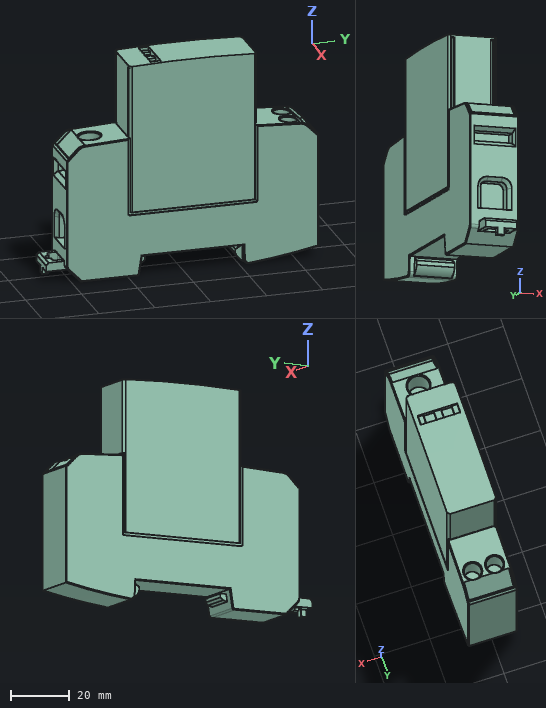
import cadquery as cq
import math

width = 17.7
half_width = width / 2
half_length = 45.0
total_length = 96.53
total_height = 77.07
edge_chamfer = 0.35
fittings_x = 0.15

plug_half_length = 22.6
shoulder_height = 50.25
shoulder_fall = math.tan(math.radians(3))
bevel_foot_height = 44.4
shoulder_round = 4.0
bevel_rise = bevel_foot_height + half_length - shoulder_height
bevel_top_y = (bevel_rise - shoulder_fall * plug_half_length) / (1 - shoulder_fall)
bevel_top_z = bevel_foot_height + half_length - bevel_top_y

rail_slot_height = 7.05
rail_half_width = 18.1
front_leg_y = -19.2
front_leg_round = 0.7
front_bevel_y = -39.9
front_bevel_z = 5.2
front_bevel_round = 1.8
rear_foot_z = 3.9
rear_foot_y = 18.4
rear_foot_round = 1.8
rear_foot_sag = 0.4

bevel_recess_half_width = 8.1
bevel_recess_top_y = 38.4
bevel_recess_foot_y = 43.4
bevel_recess_foot_z = 44.4
bevel_lip_y = 44.2
bevel_lip_z = 45.0

plug_bottom = 23.3
plug_back_y = 22.85
plug_seated_back_y = 22.33
plug_step_z = 51.0
plug_crown = 0.62
plug_chamfer = 0.85
seat_gap = 0.5
seat_bottom = 22.3
seat_depth = 0.45
seat_round = 0.8

groove_inner_x = 6.55
groove_outer_x = 7.75
groove_depth = 1.4
groove_top = 75.6

window_half_width = 7.1
window_front_y = -14.5
window_back_y = -11.0
window_depth = 1.0
lamp_well_depth = 2.0
lamp_well_inner_x = 1.3
lamp_well_outer_x = 5.1

front_screw_y = -34.35
front_screw_radius = 3.8
rear_screw_y = 35.55
rear_screw_x = 3.95
rear_screw_radius = 2.95
screw_countersink = 0.4
screw_depth = 10.0

label_half_width = 7.5
label_bottom = 33.9
label_top = 40.3
label_inset_x = 0.65
label_inset_z = 1.45
label_taper_depth = 1.6
label_depth = 5.0

entry_half_width = 6.1
entry_bottom = 11.7
entry_top = 22.85
entry_round = 3.5
entry_inset = 1.4
entry_taper_depth = 1.3
entry_depth = 4.85

latch_half_width = 5.65
latch_front_y = half_length - total_length
latch_root_y = -40.0
latch_bottom = 3.85
latch_top = rail_slot_height
latch_chamfer = 0.95
latch_hole_half_width = 3.85
latch_hole_y = -48.5
latch_hole_round = 1.0
latch_hole_reach = 0.9
latch_hole_inner_round = 0.6
notch_half_width = 1.4
notch_y = -50.0
notch_round = 1.3
tab_half_width = 1.2
tab_back_y = -49.3
tab_bottom = 1.5

rear_hook_half_width = 6.85
rear_hook_root_y = 19.0
rear_hook_root_z = 0.4
rear_hook_top = 6.6
rear_hook_tip_y = 15.8
rear_hook_tip_top = 5.2
rear_hook_tip_bottom = 3.7
rear_hook_belly = (16.7, 2.1)
front_hook_root_y = -19.0
front_hook_root_bottom = 3.1
front_hook_top = 5.8
front_hook_tip_y = -16.1
front_hook_tip_bottom = 4.5
front_hook_heel = (-17.1, 3.6)


def profile_at(x):
    """Workplane across X whose local axes are the part's Y and Z."""
    return cq.Workplane("YZ", origin=(x, 0, 0))


def prism(points, half):
    """Closed Y-Z outline extruded equally to both sides of X = 0."""
    return profile_at(0).polyline(points).close().extrude(half, both=True)


def block(x0, x1, y0, y1, z0, z1):
    return cq.Workplane("XY").box(x1 - x0, y1 - y0, z1 - z0, centered=False).translate((x0, y0, z0))


def round_corner(body, y, z, radius):
    """Round the edge along X that runs through (y, z)."""
    return body.edges(cq.NearestToPointSelector((0, y, z))).fillet(radius)


def shoulder_z(y):
    return shoulder_height - shoulder_fall * (abs(y) - plug_half_length)


def make_housing():
    sag_point = ((half_length + rear_foot_y) / 2, rear_foot_z / 2 - rear_foot_sag)
    housing = (
        profile_at(-half_width)
        .moveTo(-half_length, front_bevel_z)
        .lineTo(-half_length, bevel_foot_height)
        .lineTo(-bevel_top_y, bevel_top_z)
        .lineTo(-plug_half_length, shoulder_height)
        .lineTo(plug_half_length, shoulder_height)
        .lineTo(bevel_top_y, bevel_top_z)
        .lineTo(half_length, bevel_foot_height)
        .lineTo(half_length, rear_foot_z)
        .threePointArc(sag_point, (rear_foot_y, 0))
        .lineTo(rail_half_width, rail_slot_height)
        .lineTo(-rail_half_width, rail_slot_height)
        .lineTo(front_leg_y, 0)
        .lineTo(front_bevel_y, 0)
        .close()
        .extrude(width)
    )
    for side in (-1, 1):
        housing = round_corner(housing, side * bevel_top_y, bevel_top_z, shoulder_round)
    housing = round_corner(housing, -half_length, front_bevel_z, front_bevel_round)
    housing = round_corner(housing, front_leg_y, 0, front_leg_round)
    housing = round_corner(housing, rear_foot_y, 0, rear_foot_round)
    return housing.faces("<X or >X").chamfer(edge_chamfer)


def bevel_recess(side):
    outline = [
        (side * bevel_recess_top_y, shoulder_z(bevel_recess_top_y)),
        (side * bevel_recess_foot_y, bevel_recess_foot_z),
        (side * bevel_lip_y, bevel_lip_z),
        (side * half_length, shoulder_height),
        (side * bevel_recess_top_y, shoulder_height),
    ]
    return prism(outline, bevel_recess_half_width)


def plug_seat(side):
    """Shallow pocket in one side face that frames the plug."""
    half = plug_half_length + seat_gap
    seat = block(half_width - seat_depth, half_width, -half, half, seat_bottom, total_height)
    seat = seat.edges("|X and <Z").fillet(seat_round)
    return seat if side > 0 else seat.mirror("YZ")


def make_plug():
    shoulder = total_height - plug_crown
    plug = (
        profile_at(-half_width)
        .moveTo(-plug_half_length, plug_bottom)
        .lineTo(-plug_half_length, shoulder)
        .threePointArc((0, total_height), (plug_back_y, shoulder))
        .lineTo(plug_back_y, plug_step_z)
        .lineTo(plug_seated_back_y, plug_step_z)
        .lineTo(plug_seated_back_y, plug_bottom)
        .close()
        .extrude(width)
    )
    plug = plug.edges("(|Z and <Y) or (|Z and >Y)").chamfer(plug_chamfer)
    groove_back_y = groove_depth - plug_half_length
    for x0, x1 in ((-groove_outer_x, -groove_inner_x), (groove_inner_x, groove_outer_x)):
        plug = plug.cut(block(x0, x1, -plug_half_length, groove_back_y, plug_bottom, groove_top))
    return plug


def status_window():
    """Shallow slot with two deeper lamp wells, one either side of the middle."""
    crown = total_height - plug_crown / 2
    half = window_half_width
    window = block(-half, half, window_front_y, window_back_y, crown - window_depth, total_height)
    for x0, x1 in ((-lamp_well_outer_x, -lamp_well_inner_x), (lamp_well_inner_x, lamp_well_outer_x)):
        well = block(x0, x1, window_front_y, window_back_y, crown - lamp_well_depth, total_height)
        window = window.union(well)
    return window


def screw_hole(x, y, radius):
    """Countersunk bore, square to the sloping shoulder."""
    top = shoulder_z(y)
    tilt = math.copysign(math.degrees(math.atan(shoulder_fall)), -y)
    bore = cq.Workplane("XY").circle(radius).extrude(-screw_depth)
    mouth = (
        cq.Workplane("XY", origin=(0, 0, -screw_countersink))
        .circle(radius)
        .workplane(offset=2 * screw_countersink)
        .circle(radius + 2 * screw_countersink)
        .loft(ruled=True)
    )
    return bore.union(mouth).rotate((0, 0, 0), (1, 0, 0), tilt).translate((x, y, top))


def front_plane(depth):
    """Workplane parallel to the front face; local axes are X and Z, normal -Y."""
    return cq.Workplane("XZ", origin=(0, depth - half_length, 0))


def label_opening():
    centre = (label_bottom + label_top) / 2
    outer_width = 2 * label_half_width
    outer_height = label_top - label_bottom
    inner_width = outer_width - 2 * label_inset_x
    inner_height = outer_height - 2 * label_inset_z
    funnel = (
        front_plane(0)
        .center(0, centre)
        .rect(outer_width, outer_height)
        .workplane(offset=-label_taper_depth)
        .rect(inner_width, inner_height)
        .loft(ruled=True)
    )
    pocket = front_plane(label_depth).center(0, centre).rect(inner_width, inner_height)
    return funnel.union(pocket.extrude(label_depth - label_taper_depth))


def arch(plane, inset):
    """Arch outline: flat sill, straight jambs and rounded upper corners."""
    half = entry_half_width - inset
    top = entry_top - inset
    radius = entry_round - inset
    bow = radius * (1 - math.sqrt(0.5))
    return (
        plane.moveTo(-half, entry_bottom)
        .lineTo(-half, top - radius)
        .threePointArc((bow - half, top - bow), (radius - half, top))
        .lineTo(half - radius, top)
        .threePointArc((half - bow, top - bow), (half, top - radius))
        .lineTo(half, entry_bottom)
        .close()
    )


def cable_entry():
    mouth = arch(front_plane(0), 0)
    funnel = arch(mouth.workplane(offset=-entry_taper_depth), entry_inset).loft(ruled=True)
    pocket = arch(front_plane(entry_depth), entry_inset).extrude(entry_depth - entry_taper_depth)
    return funnel.union(pocket)


def make_latch():
    latch = block(-latch_half_width, latch_half_width, latch_front_y, latch_root_y, latch_bottom, latch_top)
    latch = latch.edges("<Y and >Z").chamfer(latch_chamfer)
    tab = block(-tab_half_width, tab_half_width, latch_front_y, tab_back_y, tab_bottom, latch_bottom)
    return latch.union(tab)


def latch_opening():
    """Keyhole through the latch, reaching a little way in behind the front face."""
    half = latch_hole_half_width
    hole = block(-half, half, latch_hole_y, latch_hole_reach - half_length, latch_bottom, latch_top)
    hole = hole.edges("|Z and <Y").fillet(latch_hole_round)
    hole = hole.edges("|Z and >Y").fillet(latch_hole_inner_round)
    notch = block(-notch_half_width, notch_half_width, notch_y, latch_hole_y, tab_bottom, latch_top)
    return hole.union(notch.edges("|Z and <Y").fillet(notch_round))


def make_hooks():
    rear_hook = (
        profile_at(0)
        .moveTo(rear_hook_root_y, rear_hook_root_z)
        .lineTo(rear_hook_root_y, rear_hook_top)
        .lineTo(rail_half_width, rear_hook_top)
        .lineTo(rear_hook_tip_y, rear_hook_tip_top)
        .lineTo(rear_hook_tip_y, rear_hook_tip_bottom)
        .threePointArc(rear_hook_belly, (rear_hook_root_y, rear_hook_root_z))
        .close()
        .extrude(rear_hook_half_width, both=True)
    )
    front_outline = [
        (front_hook_root_y, front_hook_top),
        (front_hook_tip_y, front_hook_top),
        (front_hook_tip_y, front_hook_tip_bottom),
        front_hook_heel,
        (front_hook_root_y, front_hook_root_bottom),
    ]
    return rear_hook.union(prism(front_outline, latch_half_width))


def off_centre(fitting):
    return fitting.translate((fittings_x, 0, 0))


result = make_housing()
for side in (-1, 1):
    result = result.cut(off_centre(bevel_recess(side))).cut(plug_seat(side))
result = result.union(make_plug()).cut(status_window())
result = result.cut(screw_hole(fittings_x, front_screw_y, front_screw_radius))
for side in (-1, 1):
    result = result.cut(screw_hole(fittings_x + side * rear_screw_x, rear_screw_y, rear_screw_radius))
result = result.cut(off_centre(label_opening())).cut(off_centre(cable_entry()))
result = result.union(make_hooks()).union(off_centre(make_latch())).cut(off_centre(latch_opening()))